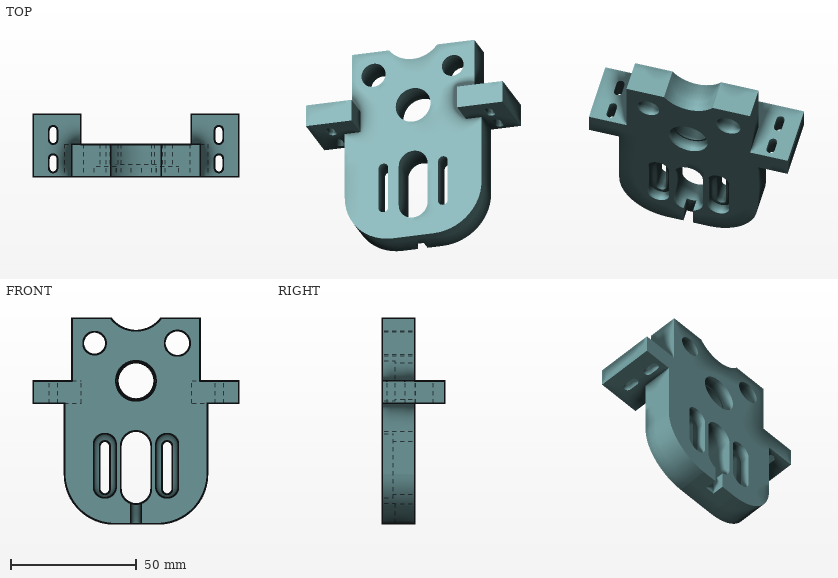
import cadquery as cq

plate_thickness = 13.0
plate_height = 82.0
lower_width = 57.0
upper_width = 51.0
bottom_corner_radius = 20.0

wing_span = 82.0
wing_depth = 25.0
wing_bottom = 48.0
wing_height = 9.0
wing_length = 19.0
wing_top = wing_bottom + wing_height

wing_slot_width = 3.3
wing_slot_length = 7.1
wing_slot_edge_distance = 8.0
wing_slot_centers_y = (5.4, 16.7)

notch_radius = 12.5
notch_depth = 5.0

upper_hole_offset = 16.5
upper_hole_z = 72.0
left_hole_diameter = 9.0
right_hole_diameter = 10.0
center_hole_z = wing_top
center_hole_diameter = 14.5
center_bore_diameter = 16.0
center_bore_depth = 5.0

center_slot_width = 12.0
center_slot_bottom = 8.0
center_slot_top = 37.0
groove_width = 4.0
groove_depth = 5.0

side_slot_offset = 12.4
side_slot_width = 4.0
side_slot_bottom = 11.9
side_slot_top = 33.0
side_recess_width = 9.0
side_recess_bottom = 10.4
side_recess_top = 36.0
side_recess_depth = 4.2


def box(x_min, x_max, y_max, z_min, z_max):
    """Block that starts on the front face."""
    return cq.Workplane("XY").box(
        x_max - x_min, y_max, z_max - z_min, centered=False
    ).translate((x_min, 0, z_min))


def cylinder(x, z, diameter, depth=plate_thickness):
    """Round cutter running back from the front face."""
    return cq.Workplane("XZ").center(x, z).circle(diameter / 2).extrude(-depth)


def upright_slot(x, bottom, top, width, depth=plate_thickness):
    """Round-ended upright slot cutter running back from the front face."""
    middle = (bottom + top) / 2
    return cq.Workplane("XZ").center(x, middle).slot2D(top - bottom, width, 90).extrude(-depth)


def make_plate():
    lower = box(-lower_width / 2, lower_width / 2, plate_thickness, 0, wing_bottom)
    lower = lower.edges("|Y and <Z").fillet(bottom_corner_radius)
    upper = box(-upper_width / 2, upper_width / 2, plate_thickness, wing_bottom, plate_height)
    notch_center_z = plate_height - notch_depth + notch_radius
    return lower.union(upper).cut(cylinder(0, notch_center_z, 2 * notch_radius))


def make_wing(side):
    center_x = side * (wing_span - wing_length) / 2
    wing = box(center_x - wing_length / 2, center_x + wing_length / 2, wing_depth, wing_bottom, wing_top)
    slot_x = side * (wing_span / 2 - wing_slot_edge_distance)
    slots = (
        cq.Workplane("XY", origin=(0, 0, wing_bottom))
        .pushPoints([(slot_x, y) for y in wing_slot_centers_y])
        .slot2D(wing_slot_length, wing_slot_width, 90)
        .extrude(wing_height)
    )
    return wing.cut(slots)


def cut_round_holes(body):
    body = body.cut(cylinder(-upper_hole_offset, upper_hole_z, left_hole_diameter))
    body = body.cut(cylinder(upper_hole_offset, upper_hole_z, right_hole_diameter))
    body = body.cut(cylinder(0, center_hole_z, center_hole_diameter))
    return body.cut(cylinder(0, center_hole_z, center_bore_diameter, center_bore_depth))


def cut_center_slot(body):
    body = body.cut(upright_slot(0, center_slot_bottom, center_slot_top, center_slot_width))
    groove_top = center_slot_bottom + center_slot_width / 2
    return body.cut(box(-groove_width / 2, groove_width / 2, groove_depth, 0, groove_top))


def cut_side_slot(body, side):
    x = side * side_slot_offset
    body = body.cut(upright_slot(x, side_slot_bottom, side_slot_top, side_slot_width))
    recess = upright_slot(x, side_recess_bottom, side_recess_top, side_recess_width, side_recess_depth)
    return body.cut(recess)


result = make_plate()
for side in (-1, 1):
    result = result.union(make_wing(side))
result = cut_round_holes(result)
result = cut_center_slot(result)
for side in (-1, 1):
    result = cut_side_slot(result, side)